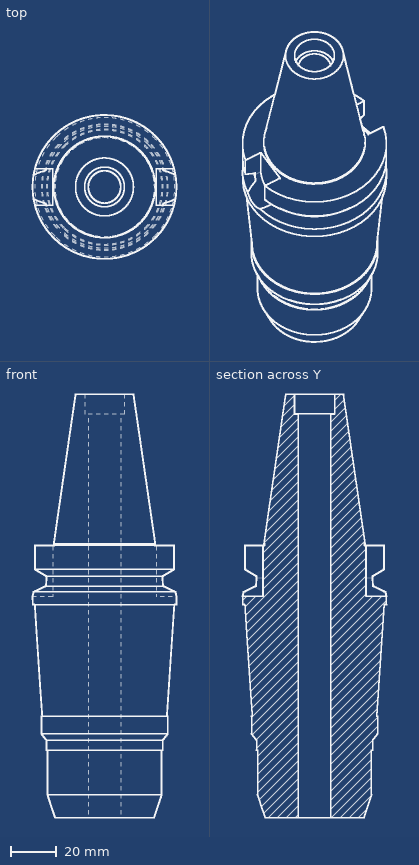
import cadquery as cq

total_height = 185.4
flange_diameter = 63.0

taper_length = 65.5
taper_small_diameter = 25.4
taper_large_diameter = 44.5
neck_diameter = 43.8
neck_height = 0.7

flange_top = total_height - taper_length - neck_height
upper_rim_bottom = 108.6
groove_top = 105.7
groove_bottom = 101.5
lower_rim_top = 98.8
flange_bottom = 93.3
groove_diameter = 53.4

body_top_diameter = 61.2
body_bottom_diameter = 54.7
collar_diameter = 55.5
collar_top = 44.5
collar_chamfer_top = 36.7

step_diameter = 51.0
step_top = 34.0
nose_diameter = 50.0
nose_top = 29.5
nose_cone_height = 10.0
nose_end_diameter = 43.4

bore_diameter = 14.0
counterbore_diameter = 17.5
counterbore_depth = 8.7

slot_width = 16.1
slot_bottom = 97.0
slot_flat_offset = 22.6


def make_body():
    """Revolve the outer profile, listed as (diameter, height) from nose to taper."""
    profile = [
        (nose_end_diameter, 0),
        (nose_diameter, nose_cone_height),
        (nose_diameter, nose_top),
        (step_diameter, nose_top),
        (step_diameter, step_top),
        (collar_diameter, collar_chamfer_top),
        (collar_diameter, collar_top),
        (body_bottom_diameter, collar_top),
        (body_top_diameter, flange_bottom),
        (flange_diameter, flange_bottom),
        (flange_diameter, lower_rim_top),
        (groove_diameter, groove_bottom),
        (groove_diameter, groove_top),
        (flange_diameter, upper_rim_bottom),
        (flange_diameter, flange_top),
        (neck_diameter, flange_top),
        (neck_diameter, flange_top + neck_height),
        (taper_large_diameter, flange_top + neck_height),
        (taper_small_diameter, total_height),
    ]
    outline = [(diameter / 2, height) for diameter, height in profile]
    axis_points = [(0, total_height), (0, 0)]
    return (
        cq.Workplane("XZ")
        .polyline(outline + axis_points)
        .close()
        .revolve(360, (0, 0, 0), (0, 1, 0))
    )


def make_bore():
    """Through bore with a counterbore at the small end of the taper."""
    bore = cq.Workplane("XY").circle(bore_diameter / 2).extrude(total_height)
    counterbore = (
        cq.Workplane("XY", origin=(0, 0, total_height - counterbore_depth))
        .circle(counterbore_diameter / 2)
        .extrude(counterbore_depth)
    )
    return bore.union(counterbore)


def make_drive_slot():
    """Round-bottomed slot on the +X side, open through the top of the flange."""
    half_width = slot_width / 2
    round_center = slot_bottom + half_width
    return (
        cq.Workplane("YZ", origin=(slot_flat_offset, 0, 0))
        .moveTo(-half_width, flange_top)
        .lineTo(-half_width, round_center)
        .threePointArc((0, slot_bottom), (half_width, round_center))
        .lineTo(half_width, flange_top)
        .close()
        .extrude(flange_diameter / 2)
    )


result = make_body().cut(make_bore())
for angle in (0, 180):
    slot = make_drive_slot().rotate((0, 0, 0), (0, 0, 1), angle)
    result = result.cut(slot)